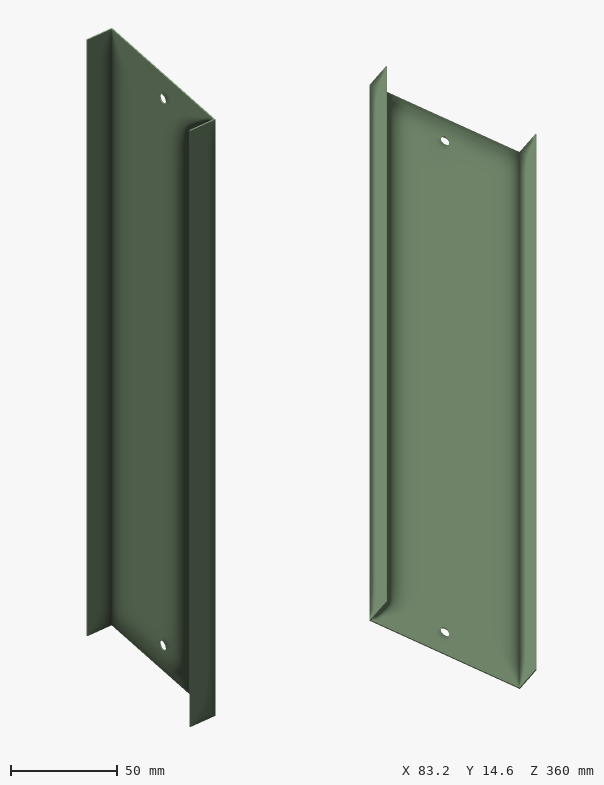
import cadquery as cq

width = 83.2
depth = 14.6
height = 360.0
sheet_thickness = 0.6

hole_diameter = 5.0
hole_end_distance = 15.0


def make_channel():
    """Upright U-channel: web at the +Y side, flanges pointing toward -Y."""
    block = cq.Workplane("XY").box(width, depth, height)
    cavity = (
        cq.Workplane("XY")
        .box(width - 2 * sheet_thickness, depth, height)
        .translate((0, -sheet_thickness, 0))
    )
    return block.cut(cavity)


def make_mounting_holes():
    """Cylinders along Y, one near each end of the web."""
    hole_z = height / 2 - hole_end_distance
    return (
        cq.Workplane("XZ")
        .pushPoints([(0, hole_z), (0, -hole_z)])
        .circle(hole_diameter / 2)
        .extrude(depth, both=True)
    )


result = make_channel().cut(make_mounting_holes())